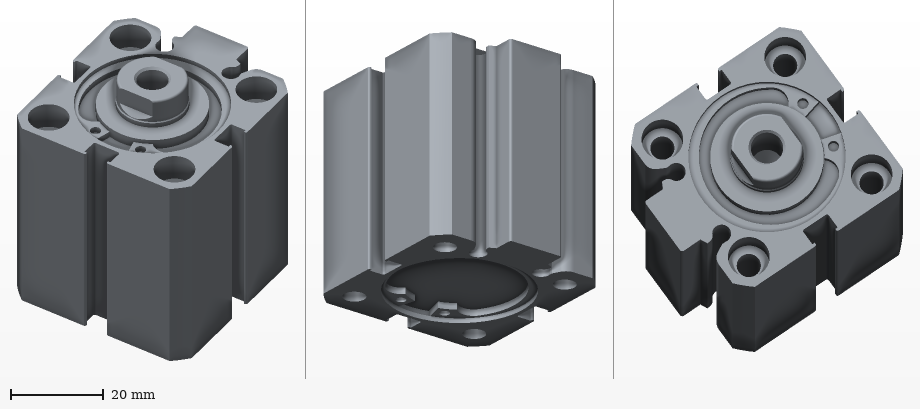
import cadquery as cq
import math

FRONT = -90.0

housing_width = 45.0
half_width = housing_width / 2
overall_height = 55.0
rod_overhang = 7.05
housing_height = overall_height - rod_overhang
corner_radius = 29.5

back_face_y = 27.5
block_half_width = 7.0
block_corner_round = 0.6

round_slot_x = 8.5
round_slot_y = 18.0
round_slot_radius = 2.05
round_slot_end_angle = 126.0
shoulder_start_x = 13.85
shoulder_end = (11.45, 21.0)
mouth_x = 10.5
mouth_top_y = 19.2
nose_tip_x = 8.5
nose_tip_top_y = 21.8
nose_tip_bottom_y = 21.3
nose_middle = (8.25, 20.35)

side_slot_floor = 18.0
side_slot_width = 6.65
side_slot_mouth = 5.4
side_slot_lip = 0.7
side_slot_edge_round = 0.45
side_slot_floor_round = 0.45

mount_offset = 16.2
mount_hole_diameter = 5.2
mount_bore_diameter = 9.0
mount_bore_depth = 6.25

bore_radius = 17.0
ring_depth = 1.1
ring_thickness = 1.55
slot_floor_web = 0.175
groove_radius = side_slot_floor - slot_floor_web

ring_opening_radius = 15.5
ring_opening_y = -0.95
ear_inner_radius = 12.45
ear_notch_angle = -36.0
ear_half_angle = 34.0
ear_gap_half_angle = 14.5
ear_hole_radius = 14.65
ear_hole_half_angle = 23.6
ear_hole_diameter = 2.4
ring_turn = -0.7

cover_thickness = 8.0
boss_radius = 12.25
boss_recess = 0.15
end_cover_thickness = 8.0

upper_ring_bottom = housing_height - ring_depth - ring_thickness
ring_bottoms = (ring_depth, upper_ring_bottom)
cover_face = upper_ring_bottom
end_cover_bottom = ring_depth + ring_thickness
end_cover_top = end_cover_bottom + end_cover_thickness

rod_radius = 8.0
rod_shoulder_height = 1.2
neck_radius = 7.75
neck_round = 0.55
flat_half_width = 6.5
flat_length = 4.4
rod_hole_diameter = 7.0
rod_hole_mouth_diameter = 8.0
rod_hole_depth = 13.2
drill_point_angle = 118.0


def polar(radius, degrees):
    angle = math.radians(degrees)
    return radius * math.cos(angle), radius * math.sin(angle)


def cylinder(radius, bottom, top):
    return cq.Workplane("XY").workplane(offset=bottom).circle(radius).extrude(top - bottom)


def make_outline():
    """Housing profile with the port block and the two round slots."""
    mouth_drop = math.sqrt(round_slot_radius**2 - (mouth_x - round_slot_x) ** 2)
    end_x, end_y = polar(round_slot_radius, round_slot_end_angle)
    half = (
        cq.Workplane("XY")
        .moveTo(0, -half_width)
        .lineTo(half_width, -half_width)
        .lineTo(half_width, half_width)
        .lineTo(shoulder_start_x, half_width)
        .tangentArcPoint(shoulder_end, relative=False)
        .lineTo(mouth_x, mouth_top_y)
        .lineTo(mouth_x, round_slot_y + mouth_drop)
        .threePointArc(
            (round_slot_x, round_slot_y - round_slot_radius),
            (round_slot_x + end_x, round_slot_y + end_y),
        )
        .threePointArc(nose_middle, (nose_tip_x, nose_tip_bottom_y))
        .lineTo(nose_tip_x, nose_tip_top_y)
        .lineTo(block_half_width, half_width)
        .lineTo(block_half_width, back_face_y - block_corner_round)
        .tangentArcPoint((block_half_width - block_corner_round, back_face_y), relative=False)
        .lineTo(0, back_face_y)
    )
    return half.mirrorY()


def make_side_slot(turn):
    """Lipped slot cut from the front face, turned around the bore axis."""
    half_slot = side_slot_width / 2
    half_mouth = side_slot_mouth / 2
    lip_inside = half_width - side_slot_lip
    floor_round = side_slot_floor_round
    edge_round = side_slot_edge_round
    half = (
        cq.Workplane("XY")
        .moveTo(0, -side_slot_floor)
        .lineTo(half_slot - floor_round, -side_slot_floor)
        .tangentArcPoint((half_slot, -side_slot_floor - floor_round), relative=False)
        .lineTo(half_slot, -lip_inside)
        .lineTo(half_mouth, -lip_inside)
        .lineTo(half_mouth, edge_round - half_width)
        .tangentArcPoint((half_mouth + edge_round, -half_width), relative=False)
        .lineTo(0, -half_width)
    )
    slot = half.mirrorY().extrude(housing_height)
    return slot.rotate((0, 0, 0), (0, 0, 1), turn)


def make_ring_groove(bottom):
    return cylinder(groove_radius, bottom, bottom + ring_thickness)


def make_housing():
    housing = make_outline().extrude(housing_height)
    housing = housing.intersect(cylinder(corner_radius, 0, housing_height))
    for turn in (-90, 0, 90):
        housing = housing.cut(make_side_slot(turn))
    housing = (
        housing.faces(">Z")
        .workplane(origin=(0, 0, housing_height))
        .rect(2 * mount_offset, 2 * mount_offset, forConstruction=True)
        .vertices()
        .cboreHole(mount_hole_diameter, mount_bore_diameter, mount_bore_depth)
    )
    housing = housing.cut(cylinder(bore_radius, 0, housing_height))
    for bottom in ring_bottoms:
        housing = housing.cut(make_ring_groove(bottom))
    return housing


def make_retaining_ring(bottom):
    """C-shaped ring with an off-centre opening and two drilled ears at the front."""
    top = bottom + ring_thickness
    notch_x, notch_rise = polar(ring_opening_radius, ear_notch_angle)
    opening = (
        cq.Workplane("XY")
        .workplane(offset=bottom)
        .moveTo(0, ring_opening_y + ring_opening_radius)
        .threePointArc(
            (ring_opening_radius, ring_opening_y),
            (notch_x, ring_opening_y + notch_rise),
        )
        .tangentArcPoint(polar(ear_inner_radius, FRONT + ear_half_angle), relative=False)
        .threePointArc(
            polar(ear_inner_radius, FRONT + ear_half_angle / 2),
            polar(ear_inner_radius, FRONT),
        )
        .mirrorY()
        .extrude(ring_thickness)
    )
    gap = (
        cq.Workplane("XY")
        .workplane(offset=bottom)
        .polyline([
            (0, 0),
            polar(2 * groove_radius, FRONT - ear_gap_half_angle),
            polar(2 * groove_radius, FRONT + ear_gap_half_angle),
        ])
        .close()
        .extrude(ring_thickness)
    )
    ear_holes = (
        cq.Workplane("XY")
        .workplane(offset=bottom)
        .pushPoints([
            polar(ear_hole_radius, FRONT - ear_hole_half_angle),
            polar(ear_hole_radius, FRONT + ear_hole_half_angle),
        ])
        .circle(ear_hole_diameter / 2)
        .extrude(ring_thickness)
    )
    ring = cylinder(groove_radius, bottom, top).cut(opening).cut(gap).cut(ear_holes)
    return ring.rotate((0, 0, 0), (0, 0, 1), ring_turn)


def make_rod_cover():
    """Cover behind the upper ring, with a boss inside the ring and a hole for the rod."""
    cover = cylinder(bore_radius, cover_face - cover_thickness, cover_face)
    boss = cylinder(boss_radius, cover_face, housing_height - boss_recess)
    rod_hole = cylinder(rod_radius, cover_face - cover_thickness, housing_height)
    return cover.union(boss).cut(rod_hole)


def make_end_cover():
    """Plain disc behind the lower ring."""
    return cylinder(bore_radius, end_cover_bottom, end_cover_top)


def make_piston_rod():
    shoulder_top = housing_height + rod_shoulder_height
    shoulder_chamfer = rod_radius - neck_radius
    rod = cylinder(rod_radius, end_cover_top, shoulder_top).faces(">Z").chamfer(shoulder_chamfer)
    neck = cylinder(neck_radius, shoulder_top, overall_height).faces(">Z").edges().fillet(neck_round)
    return rod.union(neck).cut(make_wrench_flats()).cut(make_rod_hole())


def make_wrench_flats():
    """Two flats on the neck, each running out to the surface at 45 degrees."""
    flat_bottom = overall_height - flat_length
    beyond = 2 * neck_radius
    runout = beyond - flat_half_width
    flat = (
        cq.Workplane("YZ")
        .moveTo(flat_half_width, overall_height)
        .lineTo(flat_half_width, flat_bottom)
        .lineTo(beyond, flat_bottom - runout)
        .lineTo(beyond, overall_height)
        .close()
        .extrude(neck_radius, both=True)
    )
    return flat.union(flat.mirror("XZ"))


def make_rod_hole():
    """Blind hole with a chamfered mouth and a conical drill point."""
    radius = rod_hole_diameter / 2
    mouth_radius = rod_hole_mouth_diameter / 2
    mouth_depth = mouth_radius - radius
    point_depth = radius / math.tan(math.radians(drill_point_angle / 2))
    hole_bottom = overall_height - rod_hole_depth
    return (
        cq.Workplane("XZ")
        .moveTo(0, overall_height)
        .lineTo(mouth_radius, overall_height)
        .lineTo(radius, overall_height - mouth_depth)
        .lineTo(radius, hole_bottom)
        .lineTo(0, hole_bottom - point_depth)
        .close()
        .revolve(360, (0, 0), (0, 1))
    )


housing = make_housing()
retaining_rings = [make_retaining_ring(bottom) for bottom in ring_bottoms]
rod_cover = make_rod_cover()
end_cover = make_end_cover()
piston_rod = make_piston_rod()

result = cq.Compound.makeCompound([
    housing.val(),
    *[ring.val() for ring in retaining_rings],
    rod_cover.val(),
    end_cover.val(),
    piston_rod.val(),
])